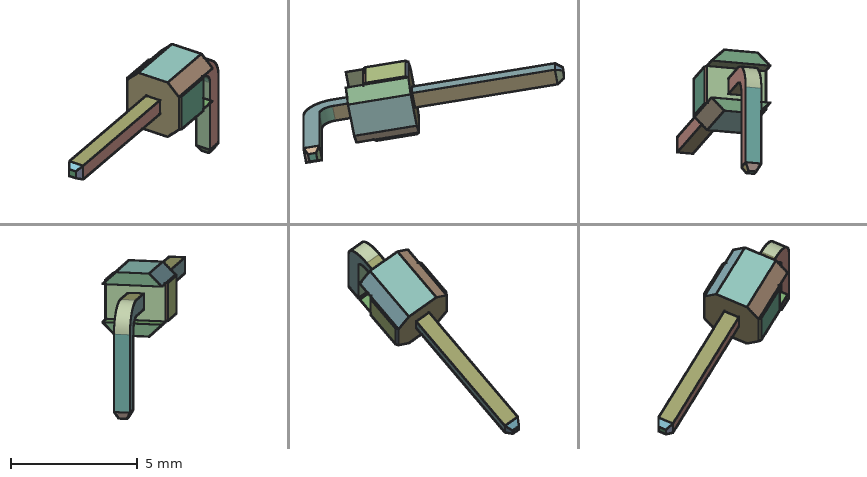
import cadquery as cq

PIN_LENGTH = 10.35
PIN_WIDTH = 0.64
PIN_DROP = 4.26
BEND_OUTER_RADIUS = 1.17
TIP_LENGTH = 0.29
TIP_WIDTH = PIN_WIDTH / 2

HOUSING_HEIGHT = 2.54
HOUSING_WIDTH = 2.4
HOUSING_DEPTH = 2.5
HOUSING_FRONT = 5.99
FLAT_WIDTH = 1.37
SIDE_HEIGHT = 1.53
REAR_SLOT_DEPTH = 0.69
OVERALL_WIDTH = 2.54
PAD_FRONT_TAPER = 0.1
PAD_REAR_TAPER = 0.1

HOUSING_BACK = HOUSING_FRONT + HOUSING_DEPTH
SLOT_FLOOR = HOUSING_BACK - REAR_SLOT_DEPTH


def make_tip(origin, direction):
    """Square taper that starts at origin and narrows along direction."""
    base = cq.Plane(origin=origin, xDir=(1, 0, 0), normal=direction)
    return (
        cq.Workplane(base)
        .rect(PIN_WIDTH, PIN_WIDTH)
        .workplane(offset=TIP_LENGTH)
        .rect(TIP_WIDTH, TIP_WIDTH)
        .loft(combine=True)
    )


def make_pin():
    """Square wire bent down through a right angle, with a taper at each end."""
    half = PIN_WIDTH / 2
    down_leg_y = PIN_LENGTH - half
    axis_radius = BEND_OUTER_RADIUS - half
    bend_start_y = down_leg_y - axis_radius
    down_leg_end = -PIN_DROP + TIP_LENGTH

    path = (
        cq.Workplane("YZ")
        .moveTo(TIP_LENGTH, 0)
        .lineTo(bend_start_y, 0)
        .tangentArcPoint((down_leg_y, -axis_radius), relative=False)
        .lineTo(down_leg_y, down_leg_end)
    )
    wire = (
        cq.Workplane("XZ", origin=(0, TIP_LENGTH, 0))
        .rect(PIN_WIDTH, PIN_WIDTH)
        .sweep(path)
    )
    front_tip = make_tip((0, TIP_LENGTH, 0), (0, -1, 0))
    lower_tip = make_tip((0, down_leg_y, down_leg_end), (0, 0, -1))
    return wire.union(front_tip).union(lower_tip)


def make_octagon_block():
    """Prism along Y with an octagonal section."""
    half_width = HOUSING_WIDTH / 2
    half_height = HOUSING_HEIGHT / 2
    half_flat = FLAT_WIDTH / 2
    half_side = SIDE_HEIGHT / 2
    return (
        cq.Workplane("XZ", origin=(0, HOUSING_BACK, 0))
        .polyline([
            (half_flat, half_height),
            (half_width, half_side),
            (half_width, -half_side),
            (half_flat, -half_height),
            (-half_flat, -half_height),
            (-half_width, -half_side),
            (-half_width, half_side),
            (-half_flat, half_height),
        ])
        .close()
        .extrude(HOUSING_DEPTH)
    )


def make_side_pads():
    """Slab across the housing that stands proud of both sides with tapered ends."""
    half_width = HOUSING_WIDTH / 2
    half_overall = OVERALL_WIDTH / 2
    return (
        cq.Workplane("XY", origin=(0, 0, -SIDE_HEIGHT / 2))
        .polyline([
            (half_width, HOUSING_FRONT),
            (half_overall, HOUSING_FRONT + PAD_FRONT_TAPER),
            (half_overall, SLOT_FLOOR - PAD_REAR_TAPER),
            (half_width, SLOT_FLOOR),
            (-half_width, SLOT_FLOOR),
            (-half_overall, SLOT_FLOOR - PAD_REAR_TAPER),
            (-half_overall, HOUSING_FRONT + PAD_FRONT_TAPER),
            (-half_width, HOUSING_FRONT),
        ])
        .close()
        .extrude(SIDE_HEIGHT)
    )


def make_housing(pin_body):
    """Octagonal block with side pads, a slot across its back and a hole for the pin."""
    slot_center_y = HOUSING_BACK - REAR_SLOT_DEPTH / 2
    rear_slot = (
        cq.Workplane("XY", origin=(0, slot_center_y, 0))
        .box(HOUSING_WIDTH, REAR_SLOT_DEPTH, SIDE_HEIGHT)
    )
    return make_octagon_block().cut(rear_slot).union(make_side_pads()).cut(pin_body)


pin = make_pin()
housing = make_housing(pin)

result = cq.Compound.makeCompound([housing.solids().val(), pin.solids().val()])